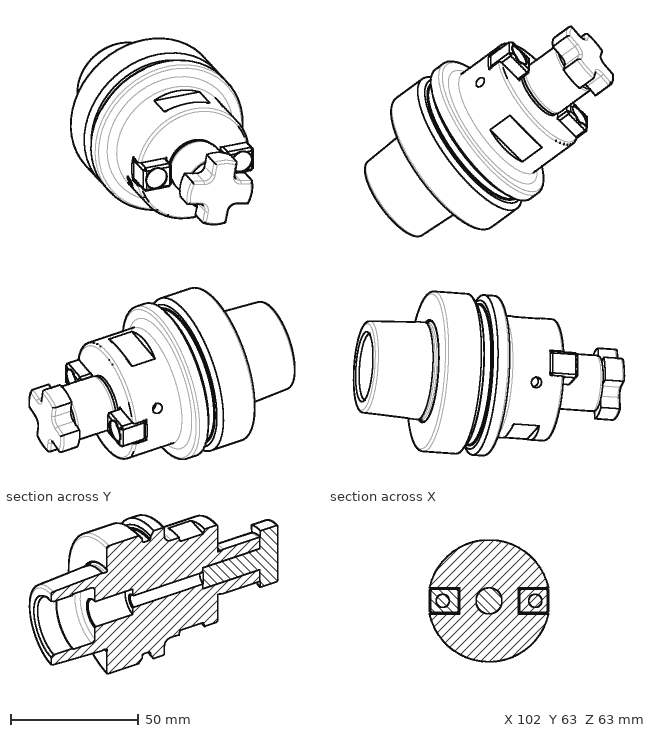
import cadquery as cq
import math

total_length = 102.0

taper_small_radius = 18.1
taper_large_radius = 19.2
taper_length = 23.0
taper_nose_round = 1.0
relief_radius = 19.0
relief_start = 23.7
relief_end = 24.5

undercut_round = 0.8
undercut_outer_radius = 20.2

flange_start = 25.0
flange_end = 51.1
flange_radius = 31.5
flange_round = 1.0
groove_radius = 27.5
groove_shoulder_radius = 29.3
groove_foot_radius = 27.9
groove_outline = [
    (39.4, flange_radius),
    (41.1, groove_shoulder_radius),
    (41.2, groove_foot_radius),
    (41.5, groove_radius),
    (44.3, groove_radius),
    (44.6, groove_foot_radius),
    (44.8, groove_shoulder_radius),
    (46.1, flange_radius),
]

collar_radius = 24.0
collar_end = 75.0
collar_root_round = 2.9
collar_edge_round = 1.0

spigot_radius = 11.0
spigot_end = 93.9
neck_radius = 10.6
neck_end = 76.0
neck_cone_start = 76.3
neck_cone_radius = 10.7
neck_cone_end = 77.3
spigot_lead_length = 1.0
spigot_lead_depth = 0.2

bore_mouth_radius = 13.8
bore_radius = 13.0
bore_mouth_depth = 1.2
bore_land_end = 9.6
chamber_radius = 13.5
chamber_lead = 0.4
bore_depth = 19.7
bore_floor_round = 1.5
step_radius = 6.1
step_depth = 36.7
passage_radius = 2.8
hole_chamfer = 0.4

flat_height = 21.9
flat_start = 58.1
flat_end = 68.3
flat_wall_run = 0.6

radial_hole_radius = 2.0
radial_hole_x = 64.0
radial_hole_angle = 20.0
radial_hole_depth = 5.6
drill_point_angle = 118.0

key_start = 69.3
key_end = 80.7
key_half_width = 5.1
key_inner = 11.5
key_outer = 23.5
key_chamfer = 1.0

screw_offset = 18.2
screw_head_radius = 4.4
screw_head_length = 5.0
screw_head_recess = 0.5
screw_shank_radius = 2.4
screw_shank_end = 60.2

head_radius = 14.0
wing_width = 10.0
wing_root_round = 3.0
wing_tilt = 10.7
head_edge_round = 1.0
stem_radius = 5.0
stem_start = 68.3


def cylinder_x(radius, start, end, y=0.0):
    """Cylinder along X between two X positions, with its axis at the given Y."""
    return cq.Workplane("YZ", origin=(start, y, 0)).circle(radius).extrude(end - start)


def revolve_x(outline):
    """Solid of revolution about the X axis from an outline drawn as (x, radius)."""
    return outline.close().revolve(360, (0, 0, 0), (1, 0, 0))


def key_block(end, outer):
    """Block on the -Y side from the slot's end wall and floor to the given X and distance from the axis."""
    return (
        cq.Workplane("XY")
        .box(end - key_start, outer - key_inner, 2 * key_half_width, centered=(False, False, True))
        .translate((key_start, -outer, 0))
    )


def half_turn(body):
    """Copy of a body turned to the opposite side of the X axis."""
    return body.rotate((0, 0, 0), (1, 0, 0), 180)


def rounding_point(center_x, center_radius, size, degrees):
    """Point on a rounding arc of the turned outline."""
    angle = math.radians(degrees)
    return (center_x + size * math.cos(angle), center_radius + size * math.sin(angle))


def turned_outside():
    """Outer shape of the holder, from the shank nose to the spigot end."""
    nose = rounding_point(taper_nose_round, taper_small_radius - taper_nose_round, taper_nose_round, 135)
    flange_shoulder = flange_radius - flange_round
    front_round = rounding_point(flange_start + flange_round, flange_shoulder, flange_round, 135)
    rear_round = rounding_point(flange_end - flange_round, flange_shoulder, flange_round, 45)
    root_center = (flange_end + collar_root_round, collar_radius + collar_root_round)
    root_round = rounding_point(*root_center, collar_root_round, 225)
    edge_center = (collar_end - collar_edge_round, collar_radius - collar_edge_round)
    edge_round = rounding_point(*edge_center, collar_edge_round, 45)
    undercut_center = (relief_end, relief_radius + undercut_round)
    undercut_arc = rounding_point(*undercut_center, undercut_round, -45)
    outline = (
        cq.Workplane("XZ")
        .moveTo(0, 0)
        .lineTo(0, taper_small_radius - taper_nose_round)
        .threePointArc(nose, (taper_nose_round, taper_small_radius))
        .lineTo(taper_length, taper_large_radius)
        .lineTo(relief_start, relief_radius)
        .lineTo(relief_end, relief_radius)
        .threePointArc(undercut_arc, (relief_end + undercut_round, undercut_center[1]))
        .lineTo(flange_start, undercut_outer_radius)
        .lineTo(flange_start, flange_shoulder)
        .threePointArc(front_round, (flange_start + flange_round, flange_radius))
        .polyline(groove_outline, includeCurrent=True)
        .lineTo(flange_end - flange_round, flange_radius)
        .threePointArc(rear_round, (flange_end, flange_shoulder))
        .lineTo(flange_end, root_center[1])
        .threePointArc(root_round, (root_center[0], collar_radius))
        .lineTo(edge_center[0], collar_radius)
        .threePointArc(edge_round, (collar_end, edge_center[1]))
        .lineTo(collar_end, neck_radius)
        .lineTo(neck_end, neck_radius)
        .lineTo(neck_cone_start, neck_cone_radius)
        .lineTo(neck_cone_end, spigot_radius)
        .lineTo(spigot_end - spigot_lead_length, spigot_radius)
        .lineTo(spigot_end, spigot_radius - spigot_lead_depth)
        .lineTo(spigot_end, 0)
    )
    return revolve_x(outline)


def stepped_bore():
    """Cutter for the bore, ending where it meets the stem of the retaining bolt."""
    floor_radius = chamber_radius - bore_floor_round
    floor_center_x = bore_depth - bore_floor_round
    floor_round = rounding_point(floor_center_x, floor_radius, bore_floor_round, 45)
    outline = (
        cq.Workplane("XZ")
        .moveTo(0, 0)
        .lineTo(0, bore_mouth_radius)
        .lineTo(bore_mouth_depth, bore_radius)
        .lineTo(bore_land_end, bore_radius)
        .lineTo(bore_land_end + chamber_lead, chamber_radius)
        .lineTo(floor_center_x, chamber_radius)
        .threePointArc(floor_round, (bore_depth, floor_radius))
        .lineTo(bore_depth, step_radius + hole_chamfer)
        .lineTo(bore_depth + hole_chamfer, step_radius)
        .lineTo(step_depth, step_radius)
        .lineTo(step_depth, passage_radius + hole_chamfer)
        .lineTo(step_depth + hole_chamfer, passage_radius)
        .lineTo(stem_start, passage_radius)
        .lineTo(stem_start, 0)
    )
    return revolve_x(outline)


def spanner_flat():
    """Cutter for the flat on the +Z side, its end walls leaning outward."""
    rise = collar_radius - flat_height
    return (
        cq.Workplane("XZ")
        .moveTo(flat_start, flat_height)
        .lineTo(flat_start - flat_wall_run, flat_height + rise)
        .lineTo(flat_end + flat_wall_run, flat_height + rise)
        .lineTo(flat_end, flat_height)
        .close()
        .extrude(collar_radius, both=True)
    )


def radial_hole():
    """Drilled blind hole that enters the collar on the -Y side, below the middle plane."""
    floor_y = radial_hole_depth - collar_radius
    tip_y = floor_y + radial_hole_radius / math.tan(math.radians(drill_point_angle / 2))
    return (
        cq.Workplane("XY")
        .moveTo(0, -flange_radius)
        .lineTo(radial_hole_radius, -flange_radius)
        .lineTo(radial_hole_radius, floor_y)
        .lineTo(0, tip_y)
        .close()
        .revolve(360, (0, 0, 0), (0, 1, 0))
        .translate((radial_hole_x, 0, 0))
        .rotate((0, 0, 0), (1, 0, 0), radial_hole_angle)
    )


def key_slot():
    """Cutter for the key slot on the -Y side, open at the collar end and outward."""
    return key_block(collar_end, collar_radius)


def make_holder():
    holder = turned_outside().cut(stepped_bore())
    tapped_hole = cylinder_x(screw_shank_radius, screw_shank_end, key_end, -screw_offset)
    for cutter in (spanner_flat(), radial_hole(), key_slot(), tapped_hole):
        holder = holder.cut(cutter).cut(half_turn(cutter))
    return holder.cut(cylinder_x(stem_radius, stem_start, spigot_end))


def make_key():
    block = key_block(key_end, key_outer).edges().chamfer(key_chamfer)
    head_seat = key_end - screw_head_recess - screw_head_length
    counterbore = cylinder_x(screw_head_radius, head_seat, key_end, -screw_offset)
    clearance = cylinder_x(screw_shank_radius, key_start, key_end, -screw_offset)
    return block.cut(counterbore).cut(clearance)


def make_key_screw():
    head_top = key_end - screw_head_recess
    head_seat = head_top - screw_head_length
    head = cylinder_x(screw_head_radius, head_seat, head_top, -screw_offset)
    shank = cylinder_x(screw_shank_radius, screw_shank_end, head_top, -screw_offset)
    return head.union(shank)


def make_retaining_bolt():
    head_length = total_length - spigot_end
    plane = cq.Workplane("YZ", origin=(spigot_end, 0, 0))
    cross = (
        plane.rect(2 * head_radius + wing_width, wing_width).extrude(head_length)
        .union(plane.rect(wing_width, 2 * head_radius + wing_width).extrude(head_length))
    )
    inner_corners = cq.selectors.BoxSelector(
        (spigot_end, -wing_width, -wing_width), (total_length, wing_width, wing_width)
    )
    head = (
        cross.edges("|X").edges(inner_corners).fillet(wing_root_round)
        .intersect(plane.circle(head_radius).extrude(head_length))
        .faces(">X").edges().fillet(head_edge_round)
        .rotate((0, 0, 0), (1, 0, 0), -wing_tilt)
    )
    return head.union(cylinder_x(stem_radius, stem_start, spigot_end))


holder = make_holder()
retaining_bolt = make_retaining_bolt()
keys = []
key_screws = []
for side_angle in (0, 180):
    keys.append(make_key().rotate((0, 0, 0), (1, 0, 0), side_angle))
    key_screws.append(make_key_screw().rotate((0, 0, 0), (1, 0, 0), side_angle))

result = cq.Compound.makeCompound(
    [body.val() for body in (holder, retaining_bolt, *keys, *key_screws)]
)